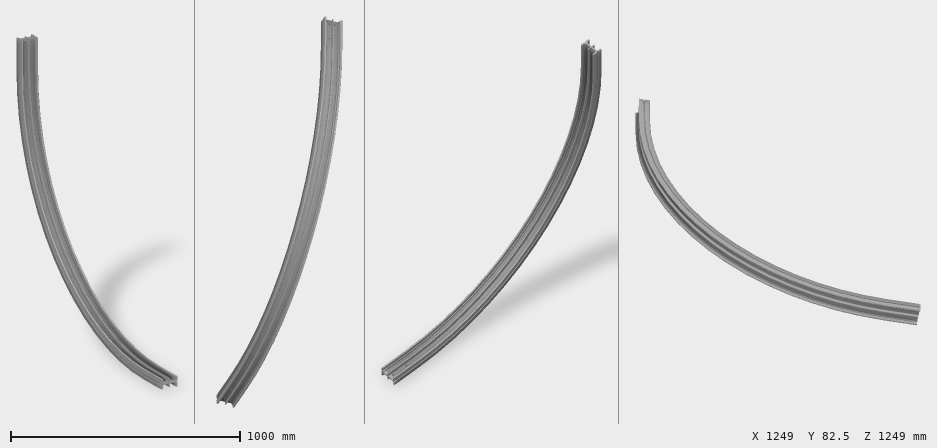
import cadquery as cq

overall_reach = 1249.0
beam_width = 82.5
beam_depth = 49.0
leg_length = 149.0
bend_angle = 90.0

flange_thickness = 7.5
outer_edge_chamfer = 0.8
inner_edge_chamfer = 1.8
boss_height_plus_y = 2.0
boss_height_minus_y = 5.0
boss_start = 13.5
boss_end = 33.0
slot_start = 20.0
slot_end = 27.0
slot_depth = 5.0
web_start = slot_start
web_end = slot_end
rib_thickness = 3.5
rib_start = 5.0
rib_end = 45.0

hole_diameter = 7.5
hole_offset_plus_y = 11.0
hole_offset_minus_y = 12.5
end_hole_distance = 21.0
second_hole_distance = 100.0

half_width = beam_width / 2
wall_face = half_width - flange_thickness
bend_centre = overall_reach - leg_length
axis_start = cq.Vector(bend_centre, 0, bend_centre)
axis_end = axis_start + cq.Vector(0, -1, 0)
section_plane = cq.Workplane("XY", origin=(0, 0, bend_centre))


def flange(boss_height):
    """Upright +Y flange: a wall with chamfered edges, slotted outside and thickened inside."""
    boss_face = wall_face - boss_height
    slot_floor = half_width - slot_depth
    outline = [
        (outer_edge_chamfer, half_width),
        (0, half_width - outer_edge_chamfer),
        (0, wall_face + outer_edge_chamfer),
        (outer_edge_chamfer, wall_face),
        (boss_start, wall_face),
        (boss_start, boss_face),
        (boss_end, boss_face),
        (boss_end, wall_face),
        (beam_depth - inner_edge_chamfer, wall_face),
        (beam_depth, wall_face + inner_edge_chamfer),
        (beam_depth, half_width - inner_edge_chamfer),
        (beam_depth - inner_edge_chamfer, half_width),
        (slot_end, half_width),
        (slot_end, slot_floor),
        (slot_start, slot_floor),
        (slot_start, half_width),
    ]
    return section_plane.polyline(outline).close().extrude(leg_length)


def plate(depth_start, depth_end, width):
    """Upright plate with a rectangular section, centred on the middle plane."""
    depth_middle = (depth_start + depth_end) / 2
    return section_plane.center(depth_middle, 0).rect(depth_end - depth_start, width).extrude(leg_length)


def upright_leg():
    """Straight leg standing on the start of the bend: two flanges, the web and the middle rib."""
    plus_y_flange = flange(boss_height_plus_y)
    minus_y_flange = flange(boss_height_minus_y).mirror("XZ")
    web = plate(web_start, web_end, 2 * wall_face)
    rib = plate(rib_start, rib_end, rib_thickness)
    return plus_y_flange.union(minus_y_flange).union(web).union(rib).clean()


def bent_beam():
    """Upright leg, quarter bend and level leg, all with the same cross-section."""
    upright = upright_leg()
    section = upright.faces("<Z").val()
    bend = cq.Solid.revolve(section, bend_angle, axis_start, axis_end)
    level_section = section.rotate(axis_start, axis_end, bend_angle)
    level = cq.Solid.extrudeLinear(level_section, cq.Vector(leg_length, 0, 0))
    return upright.union(cq.Workplane(bend)).union(cq.Workplane(level))


def upright_leg_holes():
    """Drills for the upright leg: one pair near the end and a further hole on the +Y side."""
    end_height = overall_reach - end_hole_distance
    second_height = overall_reach - second_hole_distance
    places = [
        (hole_offset_plus_y, end_height),
        (-hole_offset_minus_y, end_height),
        (hole_offset_plus_y, second_height),
    ]
    return cq.Workplane("YZ").pushPoints(places).circle(hole_diameter / 2).extrude(beam_depth)


upright_holes = upright_leg_holes()
level_holes = upright_holes.rotate((0, 0, 0), (0, 1, 0), 90).mirror("XY")
result = bent_beam().cut(upright_holes).cut(level_holes)